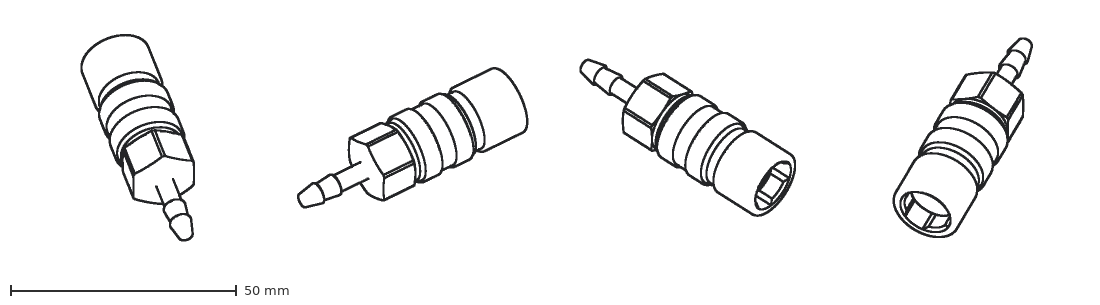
import cadquery as cq
import math


total_length = 54.8
sleeve_end = 10.95
collar_start = 13.4
ring_starts = (14.6, 22.75)
ring_width = 4.15
collar_end = 28.0
hex_start = 29.25
hex_end = 37.75
barb_starts = (45.75, 50.3)

sleeve_diameter = 15.8
neck_diameter = 14.0
collar_diameter = 15.1
ring_diameter = 16.15
sleeve_round = 0.5
collar_round = 0.45
ring_round = 0.1

hex_sides = 6
hex_across_flats = 14.0
hex_corner_diameter = 15.8
hex_chamfer_length = 0.245

stem_diameter = 4.05
stem_root_fillet = 0.6
barb_diameter = 5.1
barb_round = 0.3
tip_diameter = 3.2
tip_round = 0.3

socket_diameter = 12.15
socket_rear_diameter = 12.3
socket_depth = sleeve_end
pad_count = 3
pad_end = 5.25
pad_bore_diameter = 10.75
pad_chord_distance = 4.9


def cylinder(diameter, start, end):
    """Solid cylinder about the X axis between two axial stations."""
    return cq.Workplane("YZ").workplane(offset=start).circle(diameter / 2).extrude(end - start)


def revolve_profile(points):
    """Revolve (axial, radial) points, closed back to the first one, about the X axis."""
    return cq.Workplane("XY").polyline(points).close().revolve(360, (0, 0, 0), (1, 0, 0))


def make_body():
    """Sleeve, necks, collar and grip rings."""
    body = cylinder(neck_diameter, 0, hex_start)
    body = body.union(cylinder(sleeve_diameter, 0, sleeve_end).edges().fillet(sleeve_round))
    body = body.union(cylinder(collar_diameter, collar_start, collar_end).edges().fillet(collar_round))
    for start in ring_starts:
        ring = cylinder(ring_diameter, start, start + ring_width).edges().fillet(ring_round)
        body = body.union(ring)
    return body


def make_hexagon():
    """Hexagon with flats facing +Y and -Y, its corners turned down and both ends chamfered."""
    corner_to_corner = hex_across_flats / math.cos(math.pi / hex_sides)
    prism = (
        cq.Workplane("YZ")
        .workplane(offset=hex_start)
        .transformed(rotate=(0, 0, 90))
        .polygon(hex_sides, corner_to_corner)
        .extrude(hex_end - hex_start)
    )
    corner_radius = hex_corner_diameter / 2
    face_radius = hex_across_flats / 2
    envelope = revolve_profile([
        (hex_start, 0),
        (hex_start, face_radius),
        (hex_start + hex_chamfer_length, corner_radius),
        (hex_end - hex_chamfer_length, corner_radius),
        (hex_end, face_radius),
        (hex_end, 0),
    ])
    return prism.intersect(envelope)


def make_barb(start, end, end_diameter):
    """Tapered barb with a rounded crest at its start."""
    crest_radius = barb_diameter / 2
    barb = revolve_profile([(start, 0), (start, crest_radius), (end, end_diameter / 2), (end, 0)])
    return barb.faces("<X").edges().fillet(barb_round)


def make_stem():
    """Plain stem with a flared root and two barbs, the last one ending in a rounded tip."""
    first_start, last_start = barb_starts
    stem_radius = stem_diameter / 2
    flare_radius = stem_radius + stem_root_fillet
    flare_end = hex_end + stem_root_fillet
    arc_inset = stem_root_fillet * (1 - math.sqrt(0.5))
    stem = (
        cq.Workplane("XY")
        .moveTo(hex_end, 0)
        .lineTo(hex_end, flare_radius)
        .threePointArc((hex_end + arc_inset, stem_radius + arc_inset), (flare_end, stem_radius))
        .lineTo(last_start + barb_round, stem_radius)
        .lineTo(last_start + barb_round, 0)
        .close()
        .revolve(360, (0, 0, 0), (1, 0, 0))
    )
    first_barb = make_barb(first_start, last_start, stem_diameter)
    last_barb = make_barb(last_start, total_length, tip_diameter)
    last_barb = last_barb.faces(">X").edges().fillet(tip_round)
    return stem.union(first_barb).union(last_barb)


def make_pads():
    """Pads left standing in the socket mouth, each cut off by a chord, with 45-degree cones at both ends."""
    half_socket = socket_diameter / 2
    half_pad_bore = pad_bore_diameter / 2
    pad_height = half_socket - half_pad_bore
    bore = revolve_profile([
        (0, 0),
        (0, half_socket),
        (pad_height, half_pad_bore),
        (pad_end - pad_height, half_pad_bore),
        (pad_end, half_socket),
        (pad_end, 0),
    ])
    ring = cylinder(socket_diameter, 0, pad_end).cut(bore)
    segment_depth = half_socket - pad_chord_distance
    chord_block = cq.Workplane("XY").box(
        pad_end, segment_depth, socket_diameter, centered=(False, False, True)
    ).translate((0, pad_chord_distance, 0))
    pad = ring.intersect(chord_block)
    return [pad.rotate((0, 0, 0), (1, 0, 0), i * 360 / pad_count) for i in range(pad_count)]


def make_socket():
    """Volume removed for the socket: padded mouth, then a slightly wider rear chamber."""
    mouth = cylinder(socket_diameter, 0, pad_end)
    for pad in make_pads():
        mouth = mouth.cut(pad)
    return mouth.union(cylinder(socket_rear_diameter, pad_end, socket_depth))


result = make_body().union(make_hexagon()).union(make_stem()).cut(make_socket())